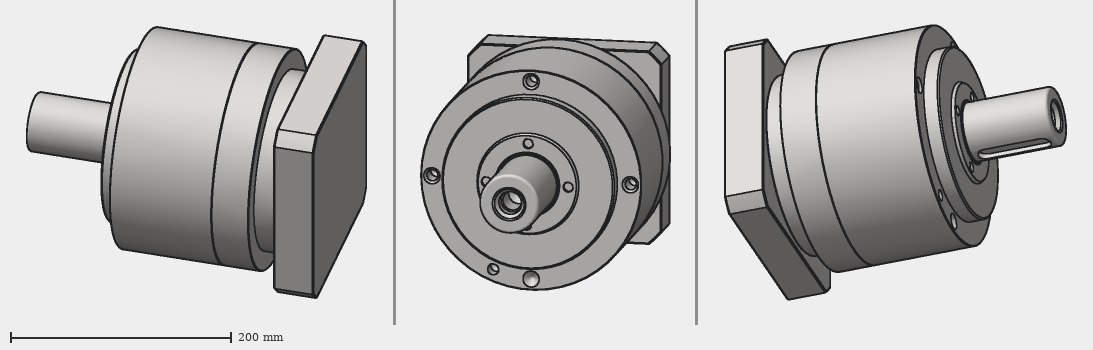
import cadquery as cq
import math

overall_length = 289.0
lip_face_x = 81.2
cap_face_x = 82.0
pilot_face_x = 85.3
housing_face_x = 99.7
ring_x = 196.2
neck_x = 231.0
plate_x = 251.0

shaft_diameter = 55.0
shaft_end_fillet = 3.0
keyway_width = 16.0
keyway_length = 70.0
keyway_depth = 6.0
keyway_start_x = 5.8

centre_mouth_diameter = 31.0
centre_cone_diameter = 27.5
centre_bore_diameter = 21.0
centre_core_diameter = 17.5
centre_mouth_depth = 1.2
centre_cone_end = 5.5
centre_bore_end = 15.0
centre_core_end = 42.0
drill_point_angle = 118.0

cap_diameter = 94.5
cap_front_diameter = 91.0
cap_bore_diameter = 60.0
lip_face_diameter = 57.0
lip_base_diameter = 58.7
cap_hole_diameter = 9.0
cap_hole_circle = 76.0
cap_hole_turn = 1.2

body_diameter = 205.0
body_chamfer = 0.72
pilot_diameter = 160.0
pilot_chamfer = 1.5
mount_hole_circle = 184.0
mount_sink_diameter = 15.0
mount_hole_diameter = 10.5
mount_hole_depth = 20.2
pin_hole_diameter = 10.0
pin_hole_depth = 14.5
pin_hole_y = 35.3
pin_hole_z = -84.7

neck_diameter = 168.0
neck_chamfer = 1.0
plate_width = 180.0
plate_corner_diameter = 238.5
plate_chamfer = 1.2


def cylinder(diameter, start_x, end_x):
    """Cylinder along the X axis."""
    return cq.Workplane("YZ", origin=(start_x, 0, 0)).circle(diameter / 2).extrude(end_x - start_x)


def revolve_about_x(points):
    """Solid of revolution about the X axis from an outline of (x, radius) points."""
    return cq.Workplane("XY").polyline(points).close().revolve(360, (0, 0, 0), (1, 0, 0))


def point_length(diameter, angle):
    """Length of a cone with this base diameter and included angle."""
    return diameter / 2 / math.tan(math.radians(angle / 2))


def drilled_hole(diameter, depth, start_x):
    """Blind hole along +X with a drill point, on the X axis."""
    radius = diameter / 2
    tip = depth + point_length(diameter, drill_point_angle)
    return revolve_about_x(
        [(start_x, 0), (start_x, radius), (start_x + depth, radius), (start_x + tip, 0)]
    )


def countersink(diameter, start_x):
    """Cone of 90 degrees narrowing along +X, on the X axis."""
    return revolve_about_x([(start_x, 0), (start_x, diameter / 2), (start_x + diameter / 2, 0)])


def centre_hole():
    return revolve_about_x(
        [
            (0, 0),
            (0, centre_mouth_diameter / 2),
            (centre_mouth_depth, centre_cone_diameter / 2),
            (centre_cone_end, centre_bore_diameter / 2),
            (centre_bore_end, centre_bore_diameter / 2),
            (centre_bore_end, centre_core_diameter / 2),
            (centre_core_end, centre_core_diameter / 2),
            (centre_core_end + point_length(centre_core_diameter, drill_point_angle), 0),
        ]
    )


def keyway():
    """Round-ended slot on the -Z side of the shaft."""
    return (
        cq.Workplane("XY", origin=(keyway_start_x + keyway_length / 2, 0, -shaft_diameter / 2))
        .slot2D(keyway_length, keyway_width)
        .extrude(keyway_depth)
    )


def make_shaft():
    shaft = cylinder(shaft_diameter, 0, ring_x).faces("<X").edges().fillet(shaft_end_fillet)
    return shaft.cut(centre_hole()).cut(keyway())


def make_seal_ring():
    """Ring around the shaft whose bevelled lip stands out of the cap."""
    return revolve_about_x(
        [
            (lip_face_x, shaft_diameter / 2),
            (lip_face_x, lip_face_diameter / 2),
            (cap_face_x, lip_base_diameter / 2),
            (cap_face_x, cap_bore_diameter / 2),
            (pilot_face_x, cap_bore_diameter / 2),
            (pilot_face_x, shaft_diameter / 2),
        ]
    )


def make_cap():
    cap = revolve_about_x(
        [
            (cap_face_x, 0),
            (cap_face_x, cap_front_diameter / 2),
            (pilot_face_x, cap_diameter / 2),
            (pilot_face_x, 0),
        ]
    )
    cap = cap.cut(cylinder(cap_bore_diameter, cap_face_x, pilot_face_x))
    for quarter in range(4):
        hole = cylinder(cap_hole_diameter, cap_face_x, pilot_face_x)
        hole = hole.translate((0, 0, cap_hole_circle / 2))
        cap = cap.cut(hole.rotate((0, 0, 0), (1, 0, 0), 90 * quarter + cap_hole_turn))
    return cap


def make_front_housing():
    body = cylinder(body_diameter, housing_face_x, ring_x).faces("<X or >X").chamfer(body_chamfer)
    pilot = cylinder(pilot_diameter, pilot_face_x, housing_face_x)
    housing = body.union(pilot.faces("<X").chamfer(pilot_chamfer))
    housing = housing.cut(cylinder(shaft_diameter, pilot_face_x, ring_x))

    sink = countersink(mount_sink_diameter, housing_face_x)
    drill = drilled_hole(mount_hole_diameter, mount_hole_depth, housing_face_x)
    mount_radius = mount_hole_circle / 2
    for y, z in [(mount_radius, 0), (-mount_radius, 0), (0, mount_radius)]:
        housing = housing.cut(sink.union(drill).translate((0, y, z)))
    housing = housing.cut(sink.translate((0, 0, -mount_radius)))

    pin_hole = drilled_hole(pin_hole_diameter, pin_hole_depth, housing_face_x)
    return housing.cut(pin_hole.translate((0, pin_hole_y, pin_hole_z)))


def make_gear_ring():
    ring = cylinder(body_diameter, ring_x, neck_x)
    return ring.faces(">X").chamfer(body_chamfer)


def make_neck():
    return cylinder(neck_diameter, neck_x, plate_x).faces(">X").chamfer(neck_chamfer)


def make_plate():
    """Square plate whose corners are turned down to a circle about the axis."""
    plate = cq.Workplane("YZ", origin=(plate_x, 0, 0)).rect(plate_width, plate_width)
    plate = plate.extrude(overall_length - plate_x)
    plate = plate.intersect(cylinder(plate_corner_diameter, plate_x, overall_length))
    return plate.faces("<X or >X").chamfer(plate_chamfer)


shaft = make_shaft()
seal_ring = make_seal_ring()
cap = make_cap()
front_housing = make_front_housing()
gear_ring = make_gear_ring()
neck = make_neck()
plate = make_plate()

result = cq.Compound.makeCompound(
    [
        shaft.val(),
        seal_ring.val(),
        cap.val(),
        front_housing.val(),
        gear_ring.val(),
        neck.val(),
        plate.val(),
    ]
)